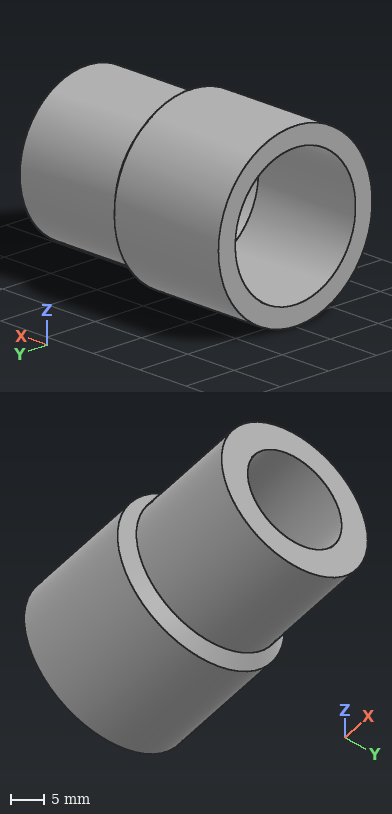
import cadquery as cq

total_length = 45.0
large_diameter = 32.0
small_diameter = 28.0
large_bore_diameter = 25.0
small_bore_diameter = 18.0

large_length = 22.5
shoulder_length = (large_diameter - small_diameter) / 2
shoulder_end = large_length + shoulder_length

bore_cone_length = (large_bore_diameter - small_bore_diameter) / 2
bore_cone_start = shoulder_end - bore_cone_length


def revolve_about_x(profile_points):
    """Revolve a closed (x, radius) profile about the X axis."""
    profile = cq.Workplane("XY").polyline(profile_points).close()
    return profile.revolve(360, (0, 0, 0), (1, 0, 0))


result = revolve_about_x([
    (0, large_bore_diameter / 2),
    (0, large_diameter / 2),
    (large_length, large_diameter / 2),
    (shoulder_end, small_diameter / 2),
    (total_length, small_diameter / 2),
    (total_length, small_bore_diameter / 2),
    (shoulder_end, small_bore_diameter / 2),
    (bore_cone_start, large_bore_diameter / 2),
])